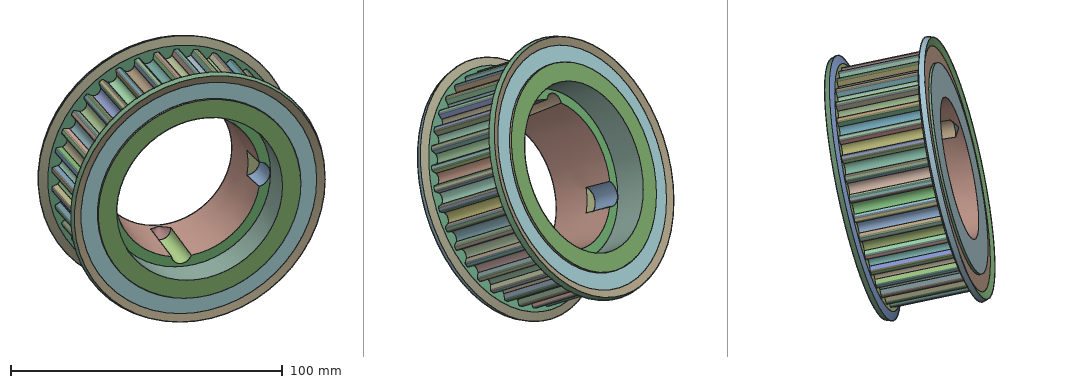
import cadquery as cq
import math


HUB_WIDTH = 38.0
FLANGE_SPAN = 38.2
FLANGE_DIAMETER = 100.0

TOOTH_COUNT = 36
TOOTH_WIDTH = 31.8
TIP_DIAMETER = 90.3
GROOVE_DEPTH = 3.4
GROOVE_ROUND_RADIUS = 2.6
GROOVE_ROUND_HALF_WIDTH = 2.1
FLANK_ANGLE = 69.0
TOOTH_TIP_RADIUS = 0.5

SEAT_DIAMETER = 79.6
FLANGE_HOLE_DIAMETER = 79.7
FLANGE_THICKNESS = 2.2
FLANGE_LEAN = 18.4

SMALL_BORE_DIAMETER = 53.5
TAPER_LENGTH = 25.4
TAPER_HALF_ANGLE = 4.0
RECESS_DIAMETER = 65.1

SCREW_CIRCLE_RADIUS = 27.3
CLAMP_HOLE_DIAMETER = 8.0
CLAMP_HOLE_LENGTH = 22.2
CLAMP_HOLE_ANGLE = 95.0
DRILL_POINT_LENGTH = 2.4
RELEASE_HOLE_DIAMETER = 10.0
RELEASE_HOLE_LENGTH = 11.0

hub_end = HUB_WIDTH / 2
tooth_end = TOOTH_WIDTH / 2
taper_end = TAPER_LENGTH - hub_end


def disc(diameter, start, length):
    """Cylinder along X, centred on the pulley axis."""
    return cq.Workplane("YZ", origin=(start, 0, 0)).circle(diameter / 2).extrude(length)


def ring_about_x(outline):
    """Turn a closed outline of (x, radius) points about the pulley axis."""
    return cq.Workplane("XY").polyline(outline).close().revolve(360, (0, 0, 0), (1, 0, 0))


def half_groove():
    """Points (height, half width) of half a groove centred on +Y, from the bottom out to the tip circle."""
    tip_circle = TIP_DIAMETER / 2
    bottom = tip_circle - GROOVE_DEPTH
    round_angle = math.asin(GROOVE_ROUND_HALF_WIDTH / GROOVE_ROUND_RADIUS)
    flank_start = (
        bottom + GROOVE_ROUND_RADIUS * (1 - math.cos(round_angle)),
        GROOVE_ROUND_HALF_WIDTH,
    )

    flank = math.radians(FLANK_ANGLE)
    along = (math.sin(flank), math.cos(flank))
    into_tooth = (-math.cos(flank), math.sin(flank))

    offset_start = [p + TOOTH_TIP_RADIUS * n for p, n in zip(flank_start, into_tooth)]
    centre_radius = tip_circle - TOOTH_TIP_RADIUS
    advance = offset_start[0] * along[0] + offset_start[1] * along[1]
    excess = offset_start[0] ** 2 + offset_start[1] ** 2 - centre_radius**2
    flank_length = math.sqrt(advance**2 - excess) - advance
    centre = [p + flank_length * a for p, a in zip(offset_start, along)]
    outward = [c / centre_radius for c in centre]
    bisector = [o - n for o, n in zip(outward, into_tooth)]
    bisector_length = math.hypot(*bisector)

    flank_end = tuple(p + flank_length * a for p, a in zip(flank_start, along))
    tip_middle = tuple(c + TOOTH_TIP_RADIUS * b / bisector_length for c, b in zip(centre, bisector))
    tip_end = tuple(c + TOOTH_TIP_RADIUS * o for c, o in zip(centre, outward))
    return (bottom, 0), flank_start, flank_end, tip_middle, tip_end


def turned(point, angle, side=1):
    """Turn a groove point about X; side -1 mirrors it to the other flank first."""
    height, half_width = point
    width = side * half_width
    return (
        height * math.cos(angle) - width * math.sin(angle),
        height * math.sin(angle) + width * math.cos(angle),
    )


def toothed_rim():
    bottom, flank_start, flank_end, tip_middle, tip_end = half_groove()
    pitch = 2 * math.pi / TOOTH_COUNT
    tooth_top = (TIP_DIAMETER / 2, 0)

    outline = cq.Workplane("YZ", origin=(-tooth_end, 0, 0)).moveTo(*turned(tip_end, 0, -1))
    for index in range(TOOTH_COUNT):
        angle = index * pitch
        outline = (
            outline.threePointArc(turned(tip_middle, angle, -1), turned(flank_end, angle, -1))
            .lineTo(*turned(flank_start, angle, -1))
            .threePointArc(turned(bottom, angle), turned(flank_start, angle))
            .lineTo(*turned(flank_end, angle))
            .threePointArc(turned(tip_middle, angle), turned(tip_end, angle))
            .threePointArc(turned(tooth_top, angle + pitch / 2), turned(tip_end, angle + pitch, -1))
        )
    return outline.close().extrude(TOOTH_WIDTH)


def taper_bore():
    small_radius = SMALL_BORE_DIAMETER / 2
    large_radius = small_radius + TAPER_LENGTH * math.tan(math.radians(TAPER_HALF_ANGLE))
    return ring_about_x(
        [(-hub_end, 0), (-hub_end, small_radius), (taper_end, large_radius), (taper_end, 0)]
    )


def clamp_hole():
    """Drilled hole with a pointed end, running from the large end of the taper, at the +Y side."""
    radius = CLAMP_HOLE_DIAMETER / 2
    shoulder = taper_end - CLAMP_HOLE_LENGTH
    point = shoulder - DRILL_POINT_LENGTH
    hole = ring_about_x([(taper_end, 0), (taper_end, radius), (shoulder, radius), (point, 0)])
    return hole.translate((0, SCREW_CIRCLE_RADIUS, 0))


def release_hole():
    """Flat-ended hole from the large end of the taper, at the +Y side."""
    hole = disc(RELEASE_HOLE_DIAMETER, taper_end - RELEASE_HOLE_LENGTH, RELEASE_HOLE_LENGTH)
    return hole.translate((0, SCREW_CIRCLE_RADIUS, 0))


def make_hub():
    hub = toothed_rim().union(disc(SEAT_DIAMETER, -hub_end, HUB_WIDTH))
    hub = hub.cut(taper_bore()).cut(disc(RECESS_DIAMETER, taper_end, hub_end - taper_end))
    for angle in (-CLAMP_HOLE_ANGLE, CLAMP_HOLE_ANGLE):
        hub = hub.cut(clamp_hole().rotate((0, 0, 0), (1, 0, 0), angle))
    return hub.cut(release_hole())


def make_flange(side):
    """Sheet flange whose rim leans away from the teeth; side is -1 or 1 along X."""
    lean = math.radians(FLANGE_LEAN)
    hole_radius = FLANGE_HOLE_DIAMETER / 2
    edge_radius = FLANGE_DIAMETER / 2
    lip_radius = edge_radius - FLANGE_THICKNESS * math.sin(lean)
    lip_x = FLANGE_SPAN / 2
    edge_x = lip_x - FLANGE_THICKNESS * math.cos(lean)
    inner_x = tooth_end
    outer_x = tooth_end + FLANGE_THICKNESS
    inner_bend_radius = edge_radius - (edge_x - inner_x) / math.tan(lean)
    outer_bend_radius = lip_radius - (lip_x - outer_x) / math.tan(lean)
    outline = [
        (inner_x, hole_radius),
        (inner_x, inner_bend_radius),
        (edge_x, edge_radius),
        (lip_x, lip_radius),
        (outer_x, outer_bend_radius),
        (outer_x, hole_radius),
    ]
    return ring_about_x([(side * x, radius) for x, radius in outline])


hub = make_hub()
flanges = [make_flange(side) for side in (-1, 1)]

result = cq.Compound.makeCompound([hub.val(), *[flange.val() for flange in flanges]])